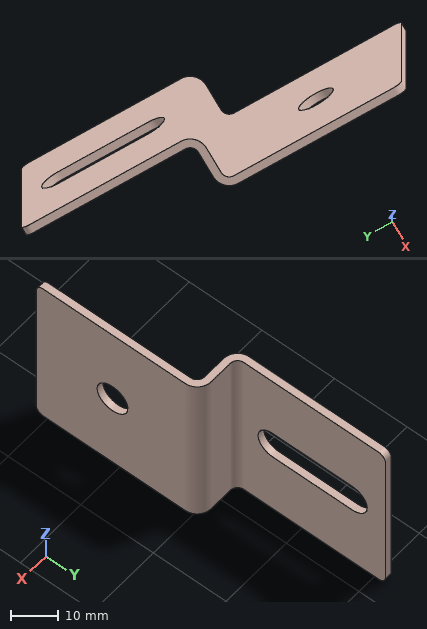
import cadquery as cq

length = 86.0
width = 14.2
height = 45.0

thickness = 2.0
inner_radius = 2.0
outer_radius = inner_radius + thickness
corner_radius = 2.0

slot_length = 30.0
slot_width = 8.25
slot_y = 23.0
hole_diameter = 8.4
hole_y = -22.0

half_length = length / 2
half_width = width / 2
left_bend_x = -half_width + outer_radius
right_bend_x = half_width - outer_radius
left_bend_y = outer_radius
right_bend_y = thickness - outer_radius
diagonal = 0.5 ** 0.5


def bend_point(x, y, radius, direction):
    """Middle point of a bend arc about (x, y), along the 45 degree diagonal."""
    offset = direction * radius * diagonal
    return (x + offset, y + offset)


def make_sheet():
    """Z-shaped strip extruded symmetrically about mid height."""
    return (
        cq.Workplane("XY")
        .moveTo(-half_width, half_length)
        .lineTo(-half_width, left_bend_y)
        .threePointArc(
            bend_point(left_bend_x, left_bend_y, outer_radius, -1),
            (left_bend_x, 0),
        )
        .lineTo(right_bend_x, 0)
        .threePointArc(
            bend_point(right_bend_x, right_bend_y, inner_radius, 1),
            (half_width - thickness, right_bend_y),
        )
        .lineTo(half_width - thickness, -half_length)
        .lineTo(half_width, -half_length)
        .lineTo(half_width, right_bend_y)
        .threePointArc(
            bend_point(right_bend_x, right_bend_y, outer_radius, 1),
            (right_bend_x, thickness),
        )
        .lineTo(left_bend_x, thickness)
        .threePointArc(
            bend_point(left_bend_x, left_bend_y, inner_radius, -1),
            (-half_width + thickness, left_bend_y),
        )
        .lineTo(-half_width + thickness, half_length)
        .close()
        .extrude(height / 2, both=True)
    )


def round_corners(sheet):
    """Round the four free corners of the two flanges."""
    for end_face in (">Y", "<Y"):
        sheet = sheet.faces(end_face).edges("|X").fillet(corner_radius)
    return sheet


def cut_openings(sheet):
    """Cut the slot through one flange and the round hole through the other."""
    flange_plane = cq.Workplane("YZ")
    slot = flange_plane.center(slot_y, 0).slot2D(slot_length, slot_width).extrude(half_width, both=True)
    hole = flange_plane.center(hole_y, 0).circle(hole_diameter / 2).extrude(half_width, both=True)
    return sheet.cut(slot).cut(hole)


result = cut_openings(round_corners(make_sheet()))